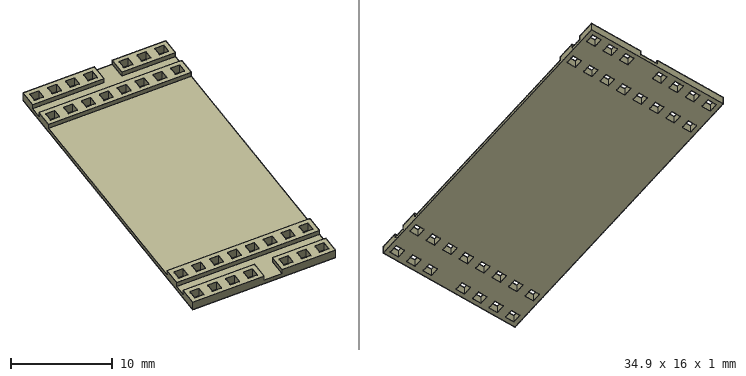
import cadquery as cq

length = 34.9
width = 16.0
height = 1.0
floor_thickness = 0.5

sockets_per_strip = 8
pitch = width / sockets_per_strip
strip_width = 2.0
strip_gap = 1.3
hole_side = 1.0
missing_socket = 4

outer_x = (length - strip_width) / 2
inner_x = outer_x - strip_width - strip_gap


def socket_y(index):
    """Y of a socket position, counted from the -Y end."""
    return (index + 0.5) * pitch - width / 2


def raised_strip(x):
    """Strip across the full width, rising from the underside to the overall height."""
    return (
        cq.Workplane("XY")
        .box(strip_width, width, height, centered=(True, True, False))
        .translate((x, 0, 0))
    )


def notch(x):
    """Break in an outer strip, one pitch long, down to the plate surface."""
    return (
        cq.Workplane("XY", origin=(x, socket_y(missing_socket), floor_thickness))
        .box(strip_width, pitch, height - floor_thickness, centered=(True, True, False))
    )


def socket_holes(x, indices):
    """Square through holes along one strip."""
    return (
        cq.Workplane("XY")
        .pushPoints([(x, socket_y(index)) for index in indices])
        .rect(hole_side, hole_side)
        .extrude(height)
    )


all_sockets = list(range(sockets_per_strip))
outer_sockets = [index for index in all_sockets if index != missing_socket]

result = cq.Workplane("XY").box(length, width, floor_thickness, centered=(True, True, False))

for side in (-1, 1):
    result = result.union(raised_strip(side * outer_x)).union(raised_strip(side * inner_x))

for side in (-1, 1):
    result = result.cut(notch(side * outer_x))
    result = result.cut(socket_holes(side * outer_x, outer_sockets))
    result = result.cut(socket_holes(side * inner_x, all_sockets))